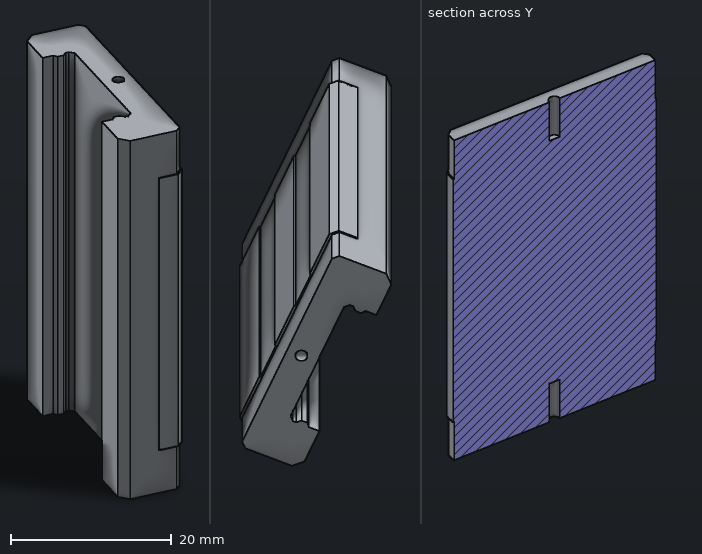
import cadquery as cq

length = 51.0
shell_width = 29.7
shell_height = 8.25
shell_wall = 0.8
shell_front_chamfer = 1.2
shell_back_chamfer = 0.7

core_width = shell_width - 2 * shell_wall
core_back = shell_height - shell_wall
core_front_chamfer = 0.7
lip_opening = 24.4

channel_width = 17.9
channel_depth = 4.15
channel_corner = 0.55
bead_reach = 0.5
bead_tip_low = 1.85
bead_tip_high = 2.65
bead_front_slope = 0.4

block_width = 30.0
block_length = 38.7
block_back = 8.6
block_front = 5.1
block_chamfer = 0.9
relief_depth = 0.17
relief_inner_edge = 3.0
relief_outer_edge = 8.0

oil_hole_diameter = 1.5
oil_hole_height = 6.3
oil_hole_depth = (length - block_length) / 2


def extrude_along_z(outline, depth):
    """Extrude an XY outline to a given depth, centred on Z = 0."""
    return cq.Workplane("XY").workplane(offset=-depth / 2).polyline(outline).close().extrude(depth)


def mirrored(right_side):
    """Complete an outline given on the +X side by its mirror image."""
    left_side = [(-x, y) for x, y in reversed(right_side)]
    return right_side + left_side


def make_envelope():
    half = shell_width / 2
    return extrude_along_z(
        mirrored([
            (half - shell_front_chamfer, 0),
            (half, shell_front_chamfer),
            (half, shell_height - shell_back_chamfer),
            (half - shell_back_chamfer, shell_height),
        ]),
        length,
    )


def make_core():
    half = core_width / 2
    return extrude_along_z(
        mirrored([
            (lip_opening / 2, 0),
            (lip_opening / 2, shell_wall),
            (half - core_front_chamfer, shell_wall),
            (half, shell_wall + core_front_chamfer),
            (half, core_back),
        ]),
        length,
    )


def make_block():
    half = block_width / 2
    block = extrude_along_z(
        mirrored([
            (half, block_front),
            (half, block_back - block_chamfer),
            (half - block_chamfer, block_back),
        ]),
        block_length,
    )
    for side in (-1, 1):
        relief = extrude_along_z(
            [
                (side * relief_inner_edge, block_back),
                (side * (relief_inner_edge + relief_depth), block_back - relief_depth),
                (side * (relief_outer_edge - relief_depth), block_back - relief_depth),
                (side * relief_outer_edge, block_back),
            ],
            block_length,
        )
        block = block.cut(relief)
    return block


def make_channel():
    half = channel_width / 2
    return extrude_along_z(
        mirrored([
            (half, 0),
            (half, bead_tip_low - bead_front_slope),
            (half - bead_reach, bead_tip_low),
            (half - bead_reach, bead_tip_high),
            (half, bead_tip_high + bead_reach),
            (half, channel_depth - channel_corner),
            (half - channel_corner, channel_depth),
        ]),
        length,
    )


def make_oil_holes():
    hole = (
        cq.Workplane("XY", origin=(0, oil_hole_height, length / 2))
        .circle(oil_hole_diameter / 2)
        .extrude(-oil_hole_depth)
    )
    return hole.union(hole.mirror("XY"))


core = make_core()
shell = make_envelope().cut(core)
carriage = shell.union(core, clean=False).union(make_block(), clean=False)
result = carriage.cut(make_channel(), clean=False).cut(make_oil_holes(), clean=False)